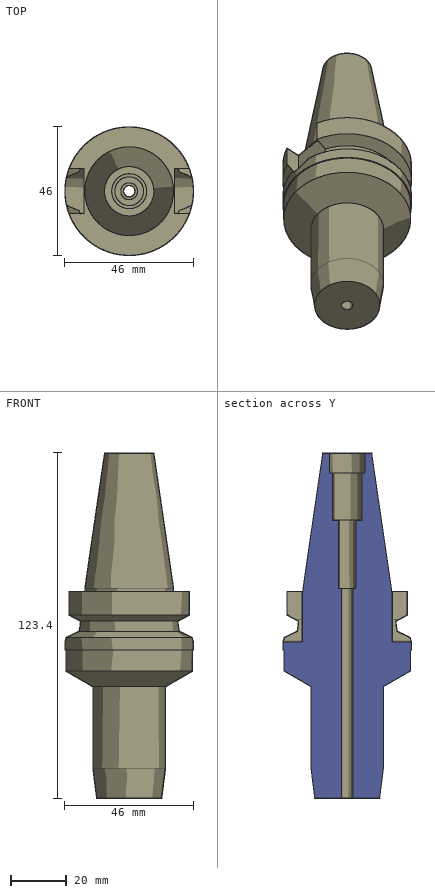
import cadquery as cq
import math


GAUGE_DIAMETER = 31.75
TAPER_LENGTH = 48.4
TAPER_RATIO = 7 / 24
TAPER_END_DIAMETER = GAUGE_DIAMETER - TAPER_RATIO * TAPER_LENGTH

FLANGE_DIAMETER = 46.0
FLANGE_TOP = -1.0
FLANGE_BOTTOM = -22.0
GROOVE_CENTRE = -13.5
GROOVE_FLOOR_DIAMETER = 38.4
GROOVE_FLOOR_WIDTH = 3.6
GROOVE_WALL_ANGLE = 30.0

SLOT_WIDTH = 16.1
SLOT_FLOOR_OFFSET = 16.1
SLOT_END = -19.1

COLLAR_DIAMETER = 45.4
COLLAR_BOTTOM = -29.5

BODY_DIAMETER = 26.0
SHOULDER_ANGLE = 30.0
NOSE_END_DIAMETER = 23.3
NOSE_LENGTH = 10.6
NOSE_END = -75.0

COUNTERBORE_DIAMETER = 12.5
COUNTERBORE_DEPTH = 7.1
THREAD_BORE_DIAMETER = 10.3
THREAD_BORE_DEPTH = 24.0
RELIEF_BORE_DIAMETER = 6.0
RELIEF_BORE_DEPTH = TAPER_LENGTH
COOLANT_BORE_DIAMETER = 4.0


def cone_height(large_diameter, small_diameter, angle):
    """Axial height of a cone whose wall is inclined by angle to the flat faces."""
    return (large_diameter - small_diameter) / 2 * math.tan(math.radians(angle))


def make_turned_body():
    """Solid of revolution of the outer outline, without bore and slots."""
    groove_wall = cone_height(FLANGE_DIAMETER, GROOVE_FLOOR_DIAMETER, GROOVE_WALL_ANGLE)
    shoulder = cone_height(COLLAR_DIAMETER, BODY_DIAMETER, SHOULDER_ANGLE)
    groove_floor_top = GROOVE_CENTRE + GROOVE_FLOOR_WIDTH / 2
    groove_floor_bottom = GROOVE_CENTRE - GROOVE_FLOOR_WIDTH / 2

    outline = [
        (0, TAPER_LENGTH),
        (TAPER_END_DIAMETER, TAPER_LENGTH),
        (GAUGE_DIAMETER, 0),
        (GAUGE_DIAMETER, FLANGE_TOP),
        (FLANGE_DIAMETER, FLANGE_TOP),
        (FLANGE_DIAMETER, groove_floor_top + groove_wall),
        (GROOVE_FLOOR_DIAMETER, groove_floor_top),
        (GROOVE_FLOOR_DIAMETER, groove_floor_bottom),
        (FLANGE_DIAMETER, groove_floor_bottom - groove_wall),
        (FLANGE_DIAMETER, FLANGE_BOTTOM),
        (COLLAR_DIAMETER, FLANGE_BOTTOM),
        (COLLAR_DIAMETER, COLLAR_BOTTOM),
        (BODY_DIAMETER, COLLAR_BOTTOM - shoulder),
        (BODY_DIAMETER, NOSE_END + NOSE_LENGTH),
        (NOSE_END_DIAMETER, NOSE_END),
        (0, NOSE_END),
    ]
    points = [(diameter / 2, height) for diameter, height in outline]
    return cq.Workplane("XZ").polyline(points).close().revolve(360, (0, 0), (0, 1))


def make_slot_cutter():
    """Round-ended slot on the +X side, open towards the top and the rim."""
    half_width = SLOT_WIDTH / 2
    arc_centre = SLOT_END + half_width
    return (
        cq.Workplane("YZ", origin=(SLOT_FLOOR_OFFSET, 0, 0))
        .moveTo(-half_width, 0)
        .lineTo(-half_width, arc_centre)
        .threePointArc((0, SLOT_END), (half_width, arc_centre))
        .lineTo(half_width, 0)
        .close()
        .extrude(FLANGE_DIAMETER / 2)
    )


def cut_bores(body):
    """Concentric bores, all sunk from the small end of the taper."""
    bores = [
        (COUNTERBORE_DIAMETER, COUNTERBORE_DEPTH),
        (THREAD_BORE_DIAMETER, THREAD_BORE_DEPTH),
        (RELIEF_BORE_DIAMETER, RELIEF_BORE_DEPTH),
        (COOLANT_BORE_DIAMETER, TAPER_LENGTH - NOSE_END),
    ]
    taper_end = cq.Workplane("XY", origin=(0, 0, TAPER_LENGTH))
    for diameter, depth in bores:
        body = body.cut(taper_end.circle(diameter / 2).extrude(-depth))
    return body


slot_cutter = make_slot_cutter()
result = cut_bores(make_turned_body())
for side_angle in (0, 180):
    result = result.cut(slot_cutter.rotate((0, 0, 0), (0, 0, 1), side_angle))